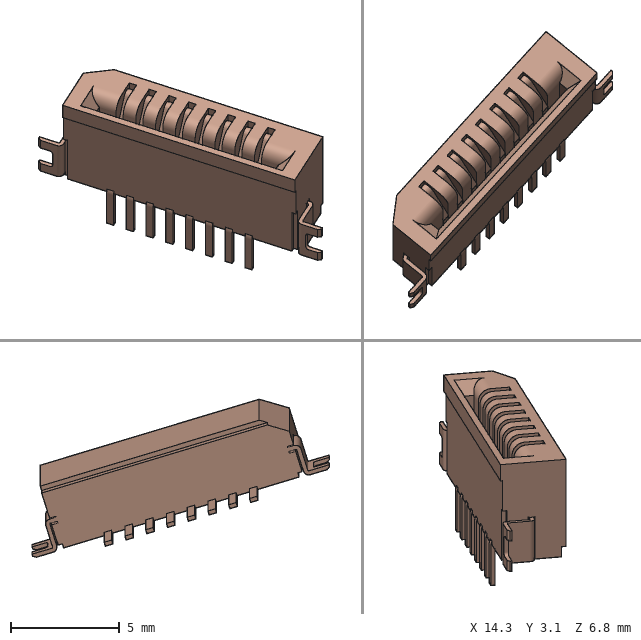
import cadquery as cq
import math


HOUSING_WIDTH = 11.75
HOUSING_HEIGHT = 4.8
HOUSING_BACK = 3.0
LIP_PROJECTION = 0.1
LIP_HEIGHT = 0.8
KEY_CHAMFER_X = 1.2
KEY_CHAMFER_Y = 0.8
BACK_STEP_DEPTH = 0.22
BACK_STEP_HEIGHT = 0.5
CORNER_NOTCH = 0.2
CORNER_NOTCH_HEIGHT = 2.5

MOUTH_WIDTH = 10.2
MOUTH_FRONT = 0.22
THROAT_WIDTH = 9.06
THROAT_FRONT = 0.57
THROAT_BACK = 1.03
THROAT_FLOOR = 1.2
ROUND_RADIUS = 0.6
FUNNEL_DEPTH = ROUND_RADIUS
ROUND_CENTER_Y = THROAT_BACK + ROUND_RADIUS

CONTACT_COUNT = 8
CONTACT_PITCH = 1.0
CONTACT_WIDTH = 0.36
SLOT_BACK = 2.5
CONTACT_FRONT = 1.0
TIP_RADIUS = 0.3
TIP_TOP = 4.6
CONTACT_SLOPE = math.radians(60)

PIN_THICKNESS = 0.2
PIN_FRONT = -0.05
PIN_BOTTOM = -2.0
PIN_BEND_Z = -0.05
PIN_BEND_RADIUS = 0.5

TAB_SPAN = 14.3
TAB_HEIGHT = 2.0
TAB_THICKNESS = 0.2
TAB_FRONT = PIN_FRONT
TAB_BACK = 1.49
TAB_LEG_OFFSET = 0.27
TAB_BEND_RADIUS = 0.25
TAB_ANCHOR_DEPTH = 0.3
TAB_TIP_BEVEL_X = 0.15
TAB_TIP_BEVEL_Y = 0.1
FORK_GAP = 1.0
FORK_DEPTH = 0.75
FORK_FILLET = 0.15
TAB_SLOT_FRONT = 1.2
TAB_SLOT_BACK = 1.54
TAB_SLOT_BOTTOM = 0.05
TAB_SLOT_TOP = 2.08

HALF_WIDTH = HOUSING_WIDTH / 2
CONTACT_POSITIONS = [
    (index - (CONTACT_COUNT - 1) / 2) * CONTACT_PITCH for index in range(CONTACT_COUNT)
]


def block(x_min, x_max, y_min, y_max, z_min, z_max):
    """Box given by its limits along each axis."""
    size = (x_max - x_min, y_max - y_min, z_max - z_min)
    return cq.Workplane("XY").box(*size, centered=False).translate((x_min, y_min, z_min))


def extrude_along_x(profile, width, center_x=0):
    """Extrude a closed YZ profile by width, centred on center_x."""
    return profile.extrude(width / 2, both=True).translate((center_x, 0, 0))


def make_housing_blank():
    """Side profile with the front lip and the rear foot step, one rear corner cut as a key."""
    profile = (
        cq.Workplane("YZ")
        .moveTo(0, 0)
        .lineTo(HOUSING_BACK - BACK_STEP_DEPTH, 0)
        .lineTo(HOUSING_BACK - BACK_STEP_DEPTH, BACK_STEP_HEIGHT)
        .lineTo(HOUSING_BACK, BACK_STEP_HEIGHT)
        .lineTo(HOUSING_BACK, HOUSING_HEIGHT)
        .lineTo(-LIP_PROJECTION, HOUSING_HEIGHT)
        .lineTo(-LIP_PROJECTION, HOUSING_HEIGHT - LIP_HEIGHT)
        .lineTo(0, HOUSING_HEIGHT - LIP_HEIGHT)
        .close()
    )
    key_corner = (
        cq.Workplane("XY")
        .moveTo(-HALF_WIDTH, HOUSING_BACK)
        .lineTo(-HALF_WIDTH + KEY_CHAMFER_X, HOUSING_BACK)
        .lineTo(-HALF_WIDTH, HOUSING_BACK - KEY_CHAMFER_Y)
        .close()
        .extrude(HOUSING_HEIGHT)
    )
    return extrude_along_x(profile, HOUSING_WIDTH).cut(key_corner)


def make_mouth():
    """Funnel and throat volume, less the quarter-round bulge of the rear wall."""
    funnel_bottom = HOUSING_HEIGHT - FUNNEL_DEPTH
    mouth_depth = ROUND_CENTER_Y - MOUTH_FRONT
    throat_depth = ROUND_CENTER_Y - THROAT_FRONT
    funnel = (
        cq.Workplane("XY", origin=(0, MOUTH_FRONT + mouth_depth / 2, HOUSING_HEIGHT))
        .rect(MOUTH_WIDTH, mouth_depth)
        .workplane(offset=-FUNNEL_DEPTH)
        .center(0, (THROAT_FRONT - MOUTH_FRONT) / 2)
        .rect(THROAT_WIDTH, throat_depth)
        .loft(ruled=True)
    )
    half_throat = THROAT_WIDTH / 2
    throat = block(
        -half_throat, half_throat, THROAT_FRONT, ROUND_CENTER_Y, THROAT_FLOOR, funnel_bottom
    )
    round_bottom = HOUSING_HEIGHT - ROUND_RADIUS
    round_profile = (
        cq.Workplane("YZ")
        .moveTo(ROUND_CENTER_Y, HOUSING_HEIGHT)
        .radiusArc((THROAT_BACK, round_bottom), -ROUND_RADIUS)
        .lineTo(THROAT_BACK, THROAT_FLOOR)
        .lineTo(ROUND_CENTER_Y, THROAT_FLOOR)
        .close()
    )
    return funnel.union(throat).cut(extrude_along_x(round_profile, MOUTH_WIDTH))


def make_contact(center_x):
    """Contact with a sloping front face that runs up to a rounded tip at the rear."""
    tip_y = SLOT_BACK - TIP_RADIUS
    tip_z = TIP_TOP - TIP_RADIUS
    slope_top_y = tip_y - TIP_RADIUS * math.sin(CONTACT_SLOPE)
    slope_top_z = tip_z + TIP_RADIUS * math.cos(CONTACT_SLOPE)
    slope_bottom_z = slope_top_z - (slope_top_y - CONTACT_FRONT) * math.tan(CONTACT_SLOPE)
    profile = (
        cq.Workplane("YZ")
        .moveTo(CONTACT_FRONT, THROAT_FLOOR)
        .lineTo(CONTACT_FRONT, slope_bottom_z)
        .lineTo(slope_top_y, slope_top_z)
        .threePointArc((tip_y, TIP_TOP), (SLOT_BACK, tip_z))
        .lineTo(SLOT_BACK, THROAT_FLOOR)
        .close()
    )
    return extrude_along_x(profile, CONTACT_WIDTH, center_x)


def make_contact_slot(center_x):
    """Slot from the throat back into the rear wall, open at the top."""
    half = CONTACT_WIDTH / 2
    return block(
        center_x - half, center_x + half, THROAT_BACK, SLOT_BACK, THROAT_FLOOR, HOUSING_HEIGHT
    )


def make_pin(center_x):
    """Solder pin hanging below the housing, its upper end bent back into the plastic."""
    pin_back = PIN_FRONT + PIN_THICKNESS
    bend_center_y = PIN_FRONT + PIN_BEND_RADIUS
    inner_radius = PIN_BEND_RADIUS - PIN_THICKNESS
    profile = (
        cq.Workplane("YZ")
        .moveTo(PIN_FRONT, PIN_BOTTOM)
        .lineTo(pin_back, PIN_BOTTOM)
        .lineTo(pin_back, PIN_BEND_Z)
        .radiusArc((bend_center_y, PIN_BEND_Z + inner_radius), inner_radius)
        .lineTo(bend_center_y, PIN_BEND_Z + PIN_BEND_RADIUS)
        .radiusArc((PIN_FRONT, PIN_BEND_Z), -PIN_BEND_RADIUS)
        .close()
    )
    return extrude_along_x(profile, CONTACT_WIDTH, center_x)


def make_left_tab():
    """Z-bent sheet: anchor into the housing, leg along its end, forked foot pointing outward."""
    tip_x = -TAB_SPAN / 2
    leg_outer = -HALF_WIDTH - TAB_LEG_OFFSET
    leg_inner = leg_outer + TAB_THICKNESS
    anchor_x = -HALF_WIDTH + TAB_ANCHOR_DEPTH
    foot_back = TAB_FRONT + TAB_THICKNESS
    anchor_front = TAB_BACK - TAB_THICKNESS
    radius = TAB_BEND_RADIUS
    inner_radius = radius - TAB_THICKNESS
    sheet = (
        cq.Workplane("XY")
        .moveTo(tip_x + TAB_TIP_BEVEL_X, TAB_FRONT)
        .lineTo(leg_inner - radius, TAB_FRONT)
        .radiusArc((leg_inner, TAB_FRONT + radius), -radius)
        .lineTo(leg_inner, anchor_front - inner_radius)
        .radiusArc((leg_inner + inner_radius, anchor_front), inner_radius)
        .lineTo(anchor_x, anchor_front)
        .lineTo(anchor_x, TAB_BACK)
        .lineTo(leg_outer + radius, TAB_BACK)
        .radiusArc((leg_outer, TAB_BACK - radius), -radius)
        .lineTo(leg_outer, foot_back + inner_radius)
        .radiusArc((leg_outer - inner_radius, foot_back), inner_radius)
        .lineTo(tip_x, foot_back)
        .lineTo(tip_x, TAB_FRONT + TAB_TIP_BEVEL_Y)
        .close()
        .extrude(TAB_HEIGHT)
    )
    fork_bottom = (TAB_HEIGHT - FORK_GAP) / 2
    fork = block(
        tip_x, tip_x + FORK_DEPTH, TAB_FRONT, foot_back, fork_bottom, fork_bottom + FORK_GAP
    )
    return sheet.cut(fork.edges("|Y and >X").fillet(FORK_FILLET))


def make_left_end_cuts():
    """Front corner notch and the slot that receives the tab anchor."""
    notch = block(-HALF_WIDTH, -HALF_WIDTH + CORNER_NOTCH, 0, CORNER_NOTCH, 0, CORNER_NOTCH_HEIGHT)
    tab_slot = block(
        -HALF_WIDTH,
        -HALF_WIDTH + TAB_ANCHOR_DEPTH,
        TAB_SLOT_FRONT,
        TAB_SLOT_BACK,
        TAB_SLOT_BOTTOM,
        TAB_SLOT_TOP,
    )
    return notch.union(tab_slot)


def on_both_ends(left_shape):
    """The given shape together with its mirror image at the right end."""
    return left_shape.union(left_shape.mirror("YZ"))


connector = make_housing_blank().cut(make_mouth()).cut(on_both_ends(make_left_end_cuts()))
for position in CONTACT_POSITIONS:
    connector = connector.cut(make_contact_slot(position))
    connector = connector.union(make_contact(position)).union(make_pin(position))

result = connector.union(on_both_ends(make_left_tab()))